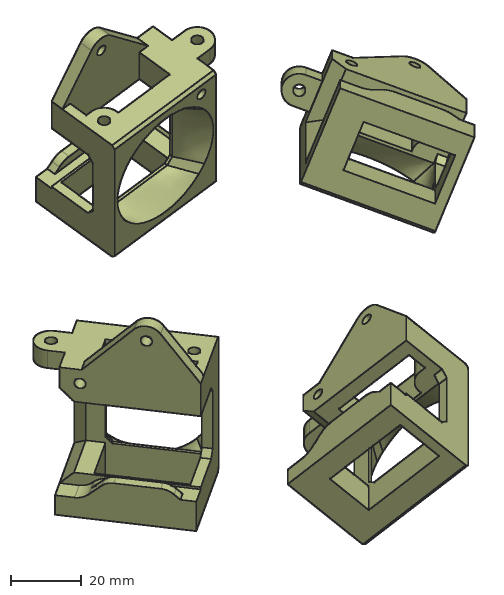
import cadquery as cq
import math

BODY_X = 31.3
BODY_Y = 40.7
BODY_Z = 46.2
ARM_X = 6.25
WALL_X = 22.65
FLOOR_Z = 10.9
CEILING_Z = 35.05
OUTER_CHAMFER = 1.0
CORNER_X = 2.0
CORNER_Z = 2.2
FLARE = 4.2

SHAFT_Y = (3.1, 30.85)
FLOOR_SHAFT_X = 7.0

PLATE_T = 4.3
PLATE_FOOT_Y = 34.35
TIP_Y = 15.65
TIP_R = 5.0
TIP_Z = 63.6 - TIP_R
PLATE_HOLE_D = 3.3
SIDE_HOLE = (34.8, 41.5)

LUG_R = 5.0
LUG_HOLE_D = 3.5
TAB_T = 6.05
TAB_X = 18.85
TAB_Y = 50.8 - LUG_R
INNER_LUG = (22.0, 5.15)

WINDOW_BEVEL = 2.05
WINDOW_DEPTH = 1.0
DUCT_R = 19.2

LEDGE_Z = 10.1
LEDGE_LOW_Z = FLOOR_Z - FLARE
LEDGE_CREST_R = 6.0
LIP_T = 3.05
LIP_TOP_Z = 13.1
LIP_FRONT_Y = 10.3
LIP_CREST_R = 5.0
LIP_FRONT_R = 6.0
LIP_FRONT_SLOPE = math.radians(40)
FOOT_Y = 35.1
FOOT_R = 6.0
SLOPE = math.radians(43)


def box(x0, x1, y0, y1, z0, z1):
    return cq.Workplane("XY").box(x1 - x0, y1 - y0, z1 - z0, centered=False).translate((x0, y0, z0))


def cylinder_x(y, z, diameter, x0, x1):
    return cq.Workplane("YZ", origin=(x0, 0, 0)).center(y, z).circle(diameter / 2).extrude(x1 - x0)


def cylinder_z(x, y, diameter, z0, z1):
    return cq.Workplane("XY", origin=(0, 0, z0)).center(x, y).circle(diameter / 2).extrude(z1 - z0)


def make_body():
    block = box(ARM_X, BODY_X, 0, BODY_Y, 0, BODY_Z).edges(">X and |Y").chamfer(OUTER_CHAMFER)
    bay = (
        cq.Workplane("XZ")
        .moveTo(ARM_X, FLOOR_Z)
        .lineTo(WALL_X - CORNER_X, FLOOR_Z)
        .lineTo(WALL_X, FLOOR_Z + CORNER_Z)
        .lineTo(WALL_X, CEILING_Z - CORNER_Z)
        .lineTo(WALL_X - CORNER_X, CEILING_Z)
        .lineTo(ARM_X, CEILING_Z)
        .close()
        .extrude(-SHAFT_Y[0])
    )
    square_bay = box(ARM_X, WALL_X, SHAFT_Y[0], BODY_Y, FLOOR_Z, CEILING_Z)
    return block.cut(bay).cut(square_bay)


def make_flare():
    """Frustum that widens the +Y end of the bay by 45 degree bevels."""
    bay_z = CEILING_Z - FLOOR_Z
    middle = ((ARM_X + WALL_X) / 2, (FLOOR_Z + CEILING_Z) / 2)
    width = WALL_X - ARM_X
    return (
        cq.Workplane("XZ", origin=(0, BODY_Y - FLARE, 0))
        .center(*middle)
        .rect(width, bay_z)
        .workplane(offset=-FLARE)
        .rect(width + 2 * FLARE, bay_z + 2 * FLARE)
        .loft(ruled=True)
    )


def make_plate():
    def tangent_point(foot_y, side):
        """Point where the line from the arm top at foot_y touches the rounded tip."""
        dy = foot_y - TIP_Y
        dz = BODY_Z - TIP_Z
        angle = math.atan2(dz, dy) + side * math.acos(TIP_R / math.hypot(dy, dz))
        return TIP_Y + TIP_R * math.cos(angle), TIP_Z + TIP_R * math.sin(angle)

    return (
        cq.Workplane("YZ", origin=(ARM_X, 0, 0))
        .moveTo(0, CEILING_Z)
        .lineTo(0, BODY_Z)
        .lineTo(*tangent_point(0, -1))
        .threePointArc((TIP_Y, TIP_Z + TIP_R), tangent_point(PLATE_FOOT_Y, 1))
        .lineTo(PLATE_FOOT_Y, BODY_Z)
        .lineTo(PLATE_FOOT_Y, CEILING_Z)
        .close()
        .extrude(PLATE_T)
    )


def make_tab():
    z0 = BODY_Z - TAB_T
    strap = box(TAB_X - LUG_R, TAB_X + LUG_R, BODY_Y, TAB_Y, z0, BODY_Z)
    return strap.union(cylinder_z(TAB_X, TAB_Y, 2 * LUG_R, z0, BODY_Z))


def make_arm_shaft():
    """Opening through the arm, leaving a rounded lug in one corner."""
    x, y = INNER_LUG
    shaft = box(ARM_X + PLATE_T, WALL_X, *SHAFT_Y, CEILING_Z, BODY_Z)
    lug = cylinder_z(x, y, 2 * LUG_R, CEILING_Z, BODY_Z)
    lug = lug.union(box(x - LUG_R, WALL_X, 0, y, CEILING_Z, BODY_Z))
    lug = lug.union(box(x, WALL_X, 0, y + LUG_R, CEILING_Z, BODY_Z))
    return shaft.cut(lug)


def make_duct():
    """Bevelled window that blends into a circle on the outer face of the wall."""
    y0, y1 = SHAFT_Y
    window = [
        (y0, FLOOR_Z),
        (y1 - WINDOW_BEVEL, FLOOR_Z),
        (y1, FLOOR_Z + WINDOW_BEVEL),
        (y1, CEILING_Z - WINDOW_BEVEL),
        (y1 - WINDOW_BEVEL, CEILING_Z),
        (y0, CEILING_Z),
    ]
    throat_x = WALL_X + WINDOW_DEPTH
    center_y = BODY_Y / 2
    center_z = BODY_Z / 2

    sides = [math.dist(a, b) for a, b in zip(window, window[1:] + window[:1])]
    sweeps = [2 * math.pi * side / sum(sides) for side in sides]
    start = -sum(sweeps[:2]) - sweeps[2] / 2

    def on_circle(angle):
        y = center_y + DUCT_R * math.cos(angle)
        z = center_z + DUCT_R * math.sin(angle)
        return cq.Vector(BODY_X, y, z)

    arcs = []
    for sweep in sweeps:
        points = [on_circle(start + sweep * share) for share in (0, 0.5, 1)]
        arcs.append(cq.Edge.makeThreePointArc(*points))
        start += sweep
    throat = cq.Wire.makePolygon([cq.Vector(throat_x, y, z) for y, z in window], close=True)
    blend = cq.Solid.makeLoft([throat, cq.Wire.assembleEdges(arcs)], True)
    straight = cq.Workplane("YZ", origin=(WALL_X, 0, 0)).polyline(window).close().extrude(WINDOW_DEPTH)
    return straight.union(cq.Workplane(obj=blend))


def crest_point(y, z, radius, turn):
    """Point on a rounding that leaves a flat top at (y, z); a negative turn goes towards -Y."""
    return y + radius * math.sin(turn), z - radius * (1 - math.cos(turn))


def foot_point(turn):
    """Point on the concave foot, turned from the low end of the ledge towards the slope."""
    y = FOOT_Y - FOOT_R * math.sin(turn)
    return y, LEDGE_LOW_Z + FOOT_R * (1 - math.cos(turn))


def crest_end_y(top_z, radius):
    """Y where a flat top ends so that its rounding, the slope and the foot are tangent."""
    roundings_run = (radius + FOOT_R) * math.sin(SLOPE)
    roundings_rise = (radius + FOOT_R) * (1 - math.cos(SLOPE))
    slope_run = (top_z - LEDGE_LOW_Z - roundings_rise) / math.tan(SLOPE)
    return FOOT_Y - roundings_run - slope_run


def finish_step(sketch, top_z, radius):
    """Extend an outline along its flat top, down the S-shaped step and to the low ledge."""
    top_end_y = crest_end_y(top_z, radius)
    return (
        sketch.lineTo(top_end_y, top_z)
        .threePointArc(
            crest_point(top_end_y, top_z, radius, SLOPE / 2),
            crest_point(top_end_y, top_z, radius, SLOPE),
        )
        .lineTo(*foot_point(SLOPE))
        .threePointArc(foot_point(SLOPE / 2), (FOOT_Y, LEDGE_LOW_Z))
        .lineTo(BODY_Y, LEDGE_LOW_Z)
        .lineTo(BODY_Y, 0)
        .close()
    )


def make_ledge():
    outline = cq.Workplane("YZ").lineTo(0, LEDGE_Z)
    return finish_step(outline, LEDGE_Z, LEDGE_CREST_R).extrude(ARM_X)


def make_lip():
    front_end = crest_point(LIP_FRONT_Y, LIP_TOP_Z, LIP_FRONT_R, -LIP_FRONT_SLOPE)
    front_middle = crest_point(LIP_FRONT_Y, LIP_TOP_Z, LIP_FRONT_R, -LIP_FRONT_SLOPE / 2)
    front_foot_y = front_end[0] - (front_end[1] - LEDGE_Z) / math.tan(LIP_FRONT_SLOPE)
    outline = (
        cq.Workplane("YZ")
        .moveTo(front_foot_y, 0)
        .lineTo(front_foot_y, LEDGE_Z)
        .lineTo(*front_end)
        .threePointArc(front_middle, (LIP_FRONT_Y, LIP_TOP_Z))
    )
    return finish_step(outline, LIP_TOP_Z, LIP_CREST_R).extrude(LIP_T)


result = make_body().cut(make_flare())
result = result.cut(make_duct())
result = result.cut(make_arm_shaft())
result = result.cut(box(FLOOR_SHAFT_X, WALL_X, *SHAFT_Y, 0, FLOOR_Z))
for addition in (make_plate(), make_tab(), make_ledge(), make_lip()):
    result = result.union(addition)

result = result.cut(cylinder_x(TIP_Y, TIP_Z, PLATE_HOLE_D, 0, BODY_X))
result = result.cut(cylinder_x(*SIDE_HOLE, PLATE_HOLE_D, 0, BODY_X))
result = result.cut(cylinder_z(TAB_X, TAB_Y, LUG_HOLE_D, 0, BODY_Z))
result = result.cut(cylinder_z(*INNER_LUG, LUG_HOLE_D, BODY_Z - TAB_T, BODY_Z))